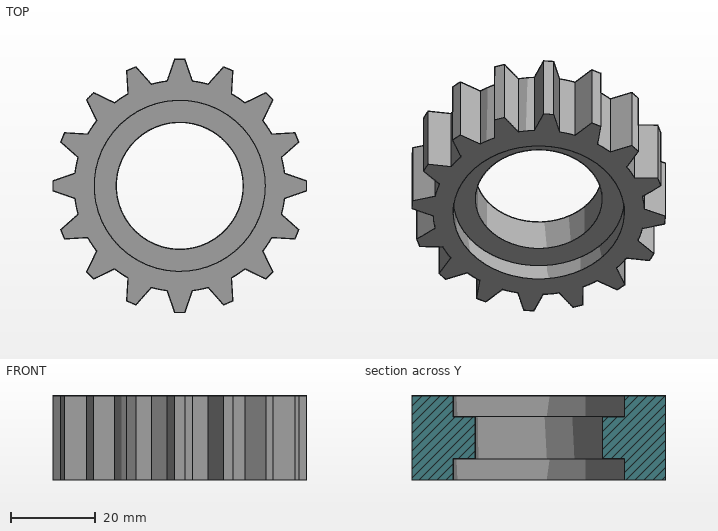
import cadquery as cq
import math

tooth_count = 16
tip_diameter = 60.0
root_diameter = 50.0
face_width = 20.0

tip_width = 2.4
root_width = 6.0

bore_diameter = 30.0
recess_diameter = 40.5
recess_depth = 5.0


def make_tooth():
    """One trapezoidal tooth on the +X axis, rooted inside the gear body."""
    half_root = root_width / 2
    half_tip = tip_width / 2
    tip_x = tip_diameter / 2
    root_x = math.sqrt((root_diameter / 2) ** 2 - half_root**2)
    inner_x = (root_diameter + recess_diameter) / 4
    outline = [
        (inner_x, -half_root),
        (root_x, -half_root),
        (tip_x, -half_tip),
        (tip_x, half_tip),
        (root_x, half_root),
        (inner_x, half_root),
    ]
    return cq.Workplane("XY").polyline(outline).close().extrude(face_width)


def make_gear_body():
    """Root cylinder with the teeth evenly spaced around it."""
    body = cq.Workplane("XY").circle(root_diameter / 2).extrude(face_width)
    tooth = make_tooth()
    for index in range(tooth_count):
        angle = index * 360 / tooth_count
        body = body.union(tooth.rotate((0, 0, 0), (0, 0, 1), angle))
    return body


def make_cylinder(diameter, bottom_z, height):
    return cq.Workplane("XY").workplane(offset=bottom_z).circle(diameter / 2).extrude(height)


bore = make_cylinder(bore_diameter, 0, face_width)
lower_recess = make_cylinder(recess_diameter, 0, recess_depth)
upper_recess = make_cylinder(recess_diameter, face_width - recess_depth, recess_depth)

result = make_gear_body().cut(bore).cut(lower_recess).cut(upper_recess)